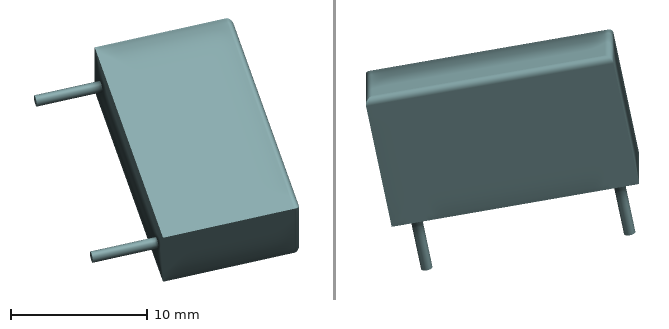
import cadquery as cq

case_width = 18.5
case_depth = 10.5
case_height = 5.22
rear_edge_radius = 0.5

lead_diameter = 0.85
lead_length = 5.0
lead_spacing = 15.17


def make_case():
    """Block centred on X and Z, with its front face on Y = 0."""
    block = cq.Workplane("XY").box(
        case_width, case_depth, case_height, centered=(True, False, True)
    )
    return block.faces(">Y").edges().fillet(rear_edge_radius)


def make_lead(x):
    """Straight round wire that starts on the front face and points toward -Y."""
    return cq.Workplane("XZ").center(x, 0).circle(lead_diameter / 2).extrude(lead_length)


case = make_case()
leads = [make_lead(side * lead_spacing / 2) for side in (-1, 1)]

result = cq.Compound.makeCompound([case.val(), *[lead.val() for lead in leads]])